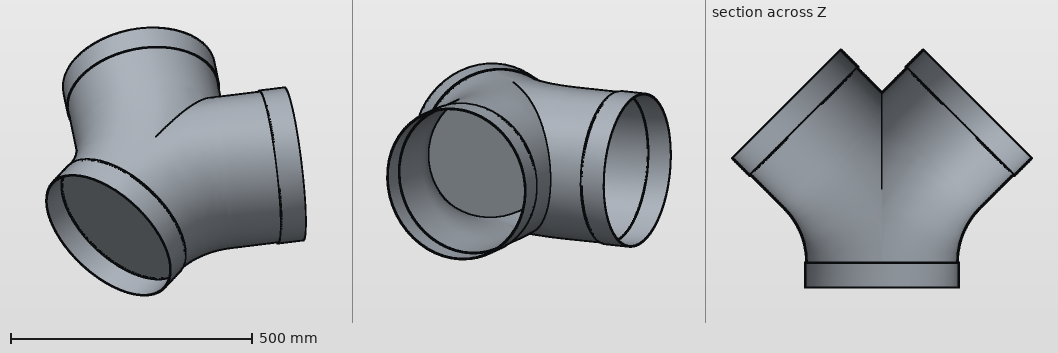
import cadquery as cq
import math

overall_width = 623.0
collar_outer_diameter = 320.0
tube_outer_diameter = 315.0
tube_inner_diameter = 310.0
collar_length = 53.0
bend_radius = 314.0
branch_angle = 45.0
sheet_thickness = (tube_outer_diameter - tube_inner_diameter) / 2

angle = math.radians(branch_angle)
bend_end_x = -bend_radius * (1 - math.cos(angle))
bend_end_y = collar_length + bend_radius * math.sin(angle)
outlet_center_x = -(overall_width - collar_outer_diameter * math.cos(angle)) / 2
leg_length = (bend_end_x - outlet_center_x) / math.sin(angle)
clip_size = 2 * overall_width


def plane_along_leg(distance):
    """Plane across the left leg, at a distance beyond the end of its bend."""
    direction = (-math.sin(angle), math.cos(angle), 0)
    origin = (
        bend_end_x + distance * direction[0],
        bend_end_y + distance * direction[1],
        0,
    )
    return cq.Plane(origin=origin, xDir=(0, 0, 1), normal=direction)


def inlet_plane(y):
    """Plane across the inlet, at position y along its axis."""
    return cq.Plane(origin=(0, y, 0), xDir=(0, 0, 1), normal=(0, 1, 0))


def leg_solid(diameter, straight_length):
    """Solid round bend followed by a straight stretch, toward the left."""
    bend = (
        cq.Workplane("XY", origin=(0, collar_length, 0))
        .transformed(rotate=(90, 0, 0))
        .circle(diameter / 2)
        .revolve(branch_angle, (-bend_radius, -6, 0), (-bend_radius, 6, 0))
    )
    straight = cq.Workplane(plane_along_leg(0)).circle(diameter / 2).extrude(straight_length)
    return bend.union(straight)


def collar(plane):
    """Thin ring that slips over the outside of a tube end."""
    return (
        cq.Workplane(plane)
        .circle(collar_outer_diameter / 2)
        .circle(tube_outer_diameter / 2)
        .extrude(collar_length)
    )


def end_ring(plane):
    """Thin flange joining the end of a tube to the collar around it."""
    return (
        cq.Workplane(plane)
        .circle(collar_outer_diameter / 2)
        .circle(tube_inner_diameter / 2)
        .extrude(sheet_thickness)
    )


def left_branch():
    """Hollow left leg with its outlet collar, trimmed at the symmetry plane."""
    tube_length = leg_length - collar_length
    outlet = plane_along_leg(tube_length)
    left_half = cq.Workplane("XY").box(clip_size, clip_size, clip_size).translate((-clip_size / 2, 0, 0))
    tube = leg_solid(tube_outer_diameter, tube_length).intersect(left_half)
    bore = leg_solid(tube_inner_diameter, tube_length)
    return tube.cut(bore).union(end_ring(outlet)).union(collar(outlet))


def capped_inlet():
    """Inlet collar closed by a thin disc where the bends begin."""
    cap = (
        cq.Workplane(inlet_plane(collar_length - sheet_thickness))
        .circle(collar_outer_diameter / 2)
        .extrude(sheet_thickness)
    )
    return collar(inlet_plane(0)).union(cap)


left = left_branch()
right = left.mirror("YZ")
result = left.union(right).union(capped_inlet())